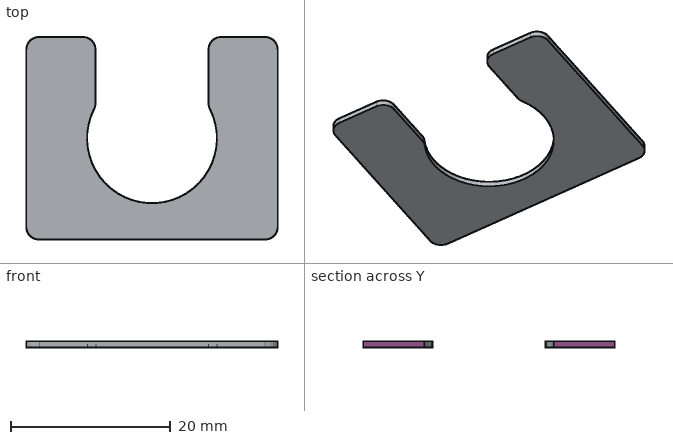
import cadquery as cq
import math

length = 31.5
width = 25.4
thickness = 0.82
corner_radius = 1.6

bore_diameter = 16.22
slot_width = 14.1
neck_radius = corner_radius


def make_plate():
    return cq.Workplane("XY").box(length, width, thickness, centered=(True, True, False))


def make_opening():
    bore = cq.Workplane("XY").circle(bore_diameter / 2).extrude(thickness)
    slot = cq.Workplane("XY").box(slot_width, width, thickness, centered=(True, False, False))
    return bore.union(slot)


def round_edges(plate):
    neck_y = math.sqrt((bore_diameter / 2) ** 2 - (slot_width / 2) ** 2)
    half_band = corner_radius
    neck_band = cq.selectors.BoxSelector(
        (-length, neck_y - half_band, -thickness),
        (length, neck_y + half_band, 2 * thickness),
    )
    plate = plate.edges("|Z").edges(neck_band).fillet(neck_radius)
    return plate.edges("|Z and (<Y or >Y)").fillet(corner_radius)


result = round_edges(make_plate().cut(make_opening()))